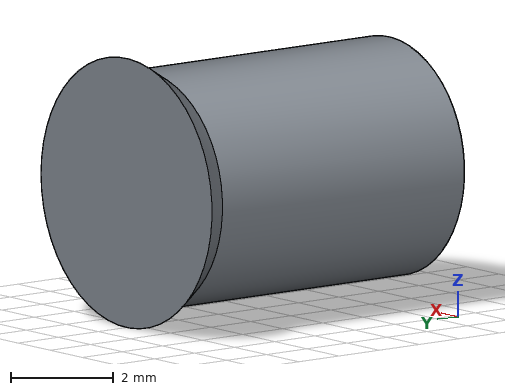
import cadquery as cq

length = 6.6
body_diameter = 4.7
flare_diameter = 5.33
flare_length = 0.515
end_chamfer = 0.05

body_radius = body_diameter / 2
flare_radius = flare_diameter / 2
front_y = -length / 2
rear_y = length / 2

half_profile = (
    cq.Workplane("XY")
    .moveTo(0, front_y)
    .lineTo(body_radius - end_chamfer, front_y)
    .lineTo(body_radius, front_y + end_chamfer)
    .lineTo(body_radius, rear_y - flare_length)
    .lineTo(flare_radius, rear_y)
    .lineTo(0, rear_y)
    .close()
)

result = half_profile.revolve(360, (0, 0, 0), (0, 1, 0))